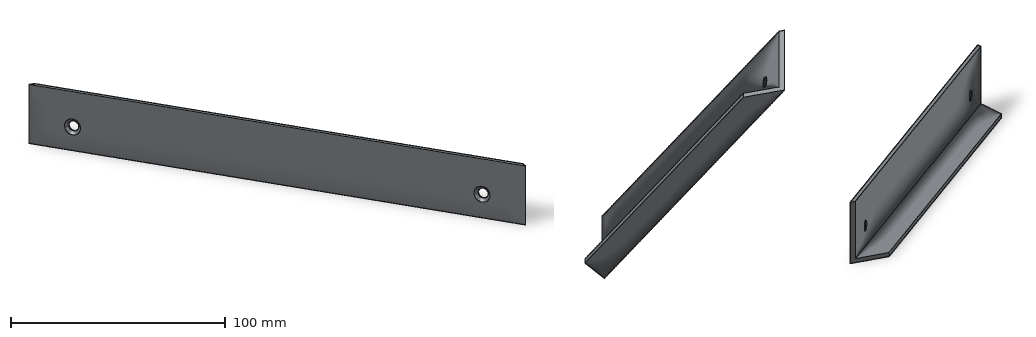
import cadquery as cq

length = 250.0
depth = 15.0
height = 30.0
wall = 2.0

hole_edge_distance = 22.0
hole_height = 12.0
hole_diameter = 5.0
countersink_diameter = 8.0
countersink_angle = 90.0


def angle_bar():
    """L-section bar: upright leg at the front, foot along the bottom."""
    upright = cq.Workplane("XY").box(length, wall, height, centered=(True, False, False))
    foot = cq.Workplane("XY").box(length, depth, wall, centered=(True, False, False))
    return upright.union(foot)


def mitre_envelope():
    """Trapezoid in plan whose ends slope inward at 45 degrees from the front face."""
    front_end = length / 2
    back_end = front_end - depth
    outline = [(-front_end, 0), (front_end, 0), (back_end, depth), (-back_end, depth)]
    return cq.Workplane("XY").polyline(outline).close().extrude(height)


def add_screw_holes(body):
    """Countersink one hole near each end, entering from the front face."""
    hole_x = length / 2 - hole_edge_distance
    return (
        body.copyWorkplane(cq.Workplane("XZ"))
        .pushPoints([(-hole_x, hole_height), (hole_x, hole_height)])
        .cskHole(hole_diameter, countersink_diameter, countersink_angle, depth=wall)
    )


result = add_screw_holes(angle_bar().intersect(mitre_envelope()))